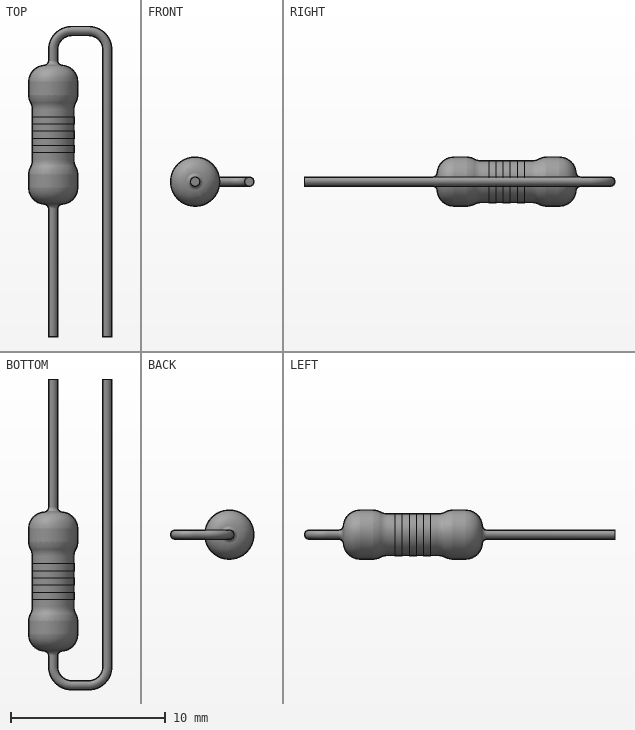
import cadquery as cq
import math

width = 5.4
length = 20.1
cap_diameter = 3.2
waist_diameter = 2.71
band_diameter = 2.73
lead_diameter = 0.6

cap_radius = cap_diameter / 2
waist_radius = waist_diameter / 2
lead_radius = lead_diameter / 2

waist_end = 1.65
cap_start = 2.57
collar_end = 4.8
bend_top = 7.01

shoulder_round = 1.09
collar_fillet = 0.3
band_width = 0.46
band_count = 3
band_pitch = 2 * band_width
bend_radius = 1.2

lead_pitch = width - cap_radius - lead_radius
lead_end = bend_top - length
bend_axis_y = bend_top - lead_radius
bend_start = bend_axis_y - bend_radius


def polar(center, radius, angle):
    return (center[0] + radius * math.cos(angle), center[1] + radius * math.sin(angle))


def make_half_body():
    """Revolve the half of the body on the +Y side, from waist to collar."""
    blend_length = cap_start - waist_end
    blend_rise = cap_radius - waist_radius
    blend_radius = (blend_length**2 + blend_rise**2) / (4 * blend_rise)
    blend_angle = math.asin(blend_length / (2 * blend_radius))
    waist_center = (waist_radius + blend_radius, waist_end)
    cap_center = (cap_radius - blend_radius, cap_start)

    collar_center = (lead_radius + collar_fillet, collar_end)
    shoulder_x = cap_radius - shoulder_round
    center_distance = shoulder_round + collar_fillet
    shoulder_angle = math.acos((collar_center[0] - shoulder_x) / center_distance)
    shoulder_y = collar_end - center_distance * math.sin(shoulder_angle)
    shoulder_center = (shoulder_x, shoulder_y)
    collar_mid_angle = math.pi + shoulder_angle / 2

    profile = (
        cq.Workplane("XY")
        .lineTo(waist_radius, 0)
        .lineTo(waist_radius, waist_end)
        .threePointArc(
            polar(waist_center, blend_radius, math.pi - blend_angle / 2),
            polar(waist_center, blend_radius, math.pi - blend_angle),
        )
        .threePointArc(
            polar(cap_center, blend_radius, -blend_angle / 2),
            (cap_radius, cap_start),
        )
        .lineTo(cap_radius, shoulder_y)
        .threePointArc(
            polar(shoulder_center, shoulder_round, shoulder_angle / 2),
            polar(shoulder_center, shoulder_round, shoulder_angle),
        )
        .threePointArc(
            polar(collar_center, collar_fillet, collar_mid_angle),
            (lead_radius, collar_end),
        )
        .lineTo(0, collar_end)
        .close()
    )
    return profile.revolve(360, (0, 0, 0), (0, 1, 0))


def make_band(center_y):
    """Colour band standing slightly proud of the waist."""
    return (
        cq.Workplane("XZ", origin=(0, center_y + band_width / 2, 0))
        .circle(band_diameter / 2)
        .extrude(band_width)
    )


def make_straight_lead():
    return (
        cq.Workplane("XZ", origin=(0, -collar_end, 0))
        .circle(lead_radius)
        .extrude(-collar_end - lead_end)
    )


def make_bent_lead():
    """Lead that leaves the +Y end and turns back through two right-angle bends."""
    diagonal = bend_radius * math.sqrt(0.5)
    far_bend_x = lead_pitch - bend_radius
    path = (
        cq.Workplane("XY")
        .moveTo(0, collar_end)
        .lineTo(0, bend_start)
        .threePointArc((bend_radius - diagonal, bend_start + diagonal), (bend_radius, bend_axis_y))
        .lineTo(far_bend_x, bend_axis_y)
        .threePointArc((far_bend_x + diagonal, bend_start + diagonal), (lead_pitch, bend_start))
        .lineTo(lead_pitch, lead_end)
    )
    return cq.Workplane("XZ", origin=(0, collar_end, 0)).circle(lead_radius).sweep(path)


half_body = make_half_body()
result = half_body.union(half_body.mirror("XZ"))
for index in range(band_count):
    result = result.union(make_band((index - (band_count - 1) / 2) * band_pitch))
result = result.union(make_straight_lead()).union(make_bent_lead())